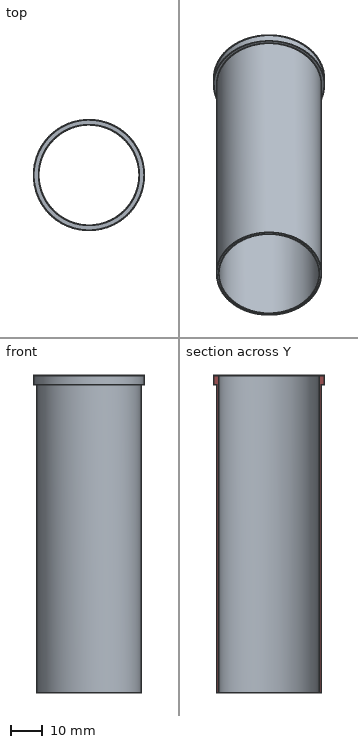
import cadquery as cq

total_height = 100.0
collar_diameter = 34.9
collar_height = 3.0
tube_diameter = 33.0
bore_diameter = 31.6

tube = cq.Workplane("XY").circle(tube_diameter / 2).extrude(total_height)

collar = (
    cq.Workplane("XY")
    .workplane(offset=total_height - collar_height)
    .circle(collar_diameter / 2)
    .extrude(collar_height)
)

bore = cq.Workplane("XY").circle(bore_diameter / 2).extrude(total_height)

result = tube.union(collar).cut(bore)